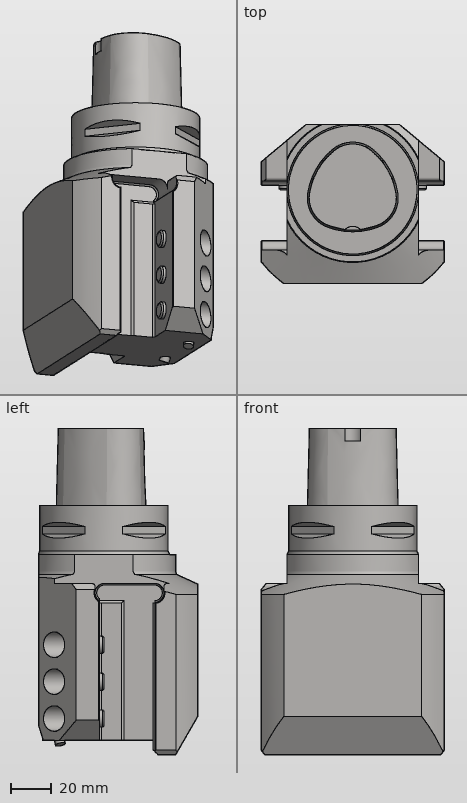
import cadquery as cq
import math

HEIGHT = 160.0
HALF_WIDTH = 45.0
BACK_Y = 32.0
FRONT_Y = -46.0
OVERSIZE = 160.0

SHANK_BOTTOM = 122.2
FLANK_REACH = 20.6
LOBE_REACH = 23.4
FLANK_RADIUS = 34.9
SHANK_TAPER = math.degrees(math.atan(1 / 40))
KEY_RADIUS = 5.1
KEY_AXIS_Y = -23.0
KEY_DEPTH = 6.2

FLANGE_RADIUS = 63.0 / 2
FLANGE_BOTTOM = 99.8
NECK_RADIUS = 32.3
DISC_TOP = 98.0
DISC_RADIUS = 35.4
DISC_BOTTOM = 89.8
GROOVE_FLOOR_RADIUS = 27.8
GROOVE_Z = 110.0
GROOVE_FLOOR_HEIGHT = 3.5
GROOVE_CLEARANCE = 1.6
GROOVE_FLARE = math.tan(math.radians(30))

SHOULDER_TOP = 88.5
SHOULDER_RADIUS = 35.7
SHOULDER_SLOPE = 0.46
CORNER_RADIUS = 57.1

BODY_BOTTOM = 7.0
BACK_FLAT_HALF = 22.9
BACK_BEVEL_Y = 13.6
BACK_SLANT_TOP = 14.2
BACK_SLANT_BOTTOM = 8.2
BACK_SLANT_INSET = 2.0
FRONT_BEVEL_Z = 18.9
FRONT_BEVEL_Y = -35.2

CORE_HALF = 32.3
WING_TOP = 84.0
WING_TOP_BEVEL_X = 2.5
WING_TOP_BEVEL_Z = 3.0
WING_BOTTOM_BEVEL = 10.0
SLOT_BACK = 2.0
SLOT_FRONT = -25.0
SLOT_FLOOR = 19.2
SLOT_CORNER_BEVEL = 1.0
SLOT_EDGE_BEVEL = 0.5
CROSS_TOP = 84.0
CROSS_BOTTOM = 74.7
CROSS_MIDDLE_Z = (CROSS_TOP + CROSS_BOTTOM) / 2
CROSS_BACK = 4.3
CROSS_FRONT = -29.5
CROSS_FLOOR_BEVEL = 0.8
LIP_RADIUS = 1.6
APRON_BACK = -24.0
APRON_BOTTOM_BEVEL = 2.5
APRON_SIDE_BEVEL_X = 2.0
APRON_SIDE_BEVEL_Z = 2.2

PAD_RISE = 0.6
PAD_BEVEL_WIDTH = 1.1
PAD_CORNER_X = 0.8
PAD_CORNER_Y = 1.0
PAD_FRONT = -8.6
PAD_TOP = 74.4

SCREW_X = 32.0
SCREW_PITCH = 18.0
SCREW_BOTTOM_Z = 17.8
SCREW_COUNT = 3
SCREW_HOLE_DIAMETER = 12.5
SCREW_HOLE_FLOOR = 12.8
PIN_DIAMETER = 8.5
PIN_TIP_Y = -0.2
PIN_BEVEL = 0.8

NOZZLE_DIAMETER = 5.0
NOZZLE_X = 16.0
NOZZLE_Y = 21.8
NOZZLE_FORWARD_TILT = 12.0
NOZZLE_OUTWARD_TILT = 18.0
NOZZLE_PROJECTION = 2.0
NOZZLE_ROOT = 8.0


def box(x0, x1, y0, y1, z0, z1):
    """Block between two opposite corners."""
    return cq.Workplane("XY").box(x1 - x0, y1 - y0, z1 - z0, centered=False).translate((x0, y0, z0))


def prism_x(points, x0, x1):
    """Y-Z outline swept from x0 to x1."""
    return cq.Workplane("YZ").workplane(offset=x0).polyline(points).close().extrude(x1 - x0)


def prism_y(points):
    """X-Z outline swept right through the part along Y."""
    return cq.Workplane("XZ").polyline(points).close().extrude(OVERSIZE, both=True)


def both_sides(solid):
    """The solid together with its mirror image across X = 0."""
    return solid.union(solid.mirror("YZ"))


def polar(radius, degrees):
    angle = math.radians(degrees)
    return (radius * math.cos(angle), radius * math.sin(angle))


def make_shank():
    lobe_offset = (
        (LOBE_REACH - FLANK_REACH)
        * (2 * FLANK_RADIUS - FLANK_REACH - LOBE_REACH)
        / (FLANK_RADIUS + FLANK_REACH - 2 * LOBE_REACH)
    )
    flank_y = FLANK_RADIUS - FLANK_REACH
    lobe_x, lobe_y = polar(lobe_offset, -30)
    tangent_angle = math.atan2(lobe_y - flank_y, lobe_x)
    tangent_x = FLANK_RADIUS * math.cos(tangent_angle)
    tangent_y = flank_y + FLANK_RADIUS * math.sin(tangent_angle)
    joint_radius = math.hypot(tangent_x, tangent_y)
    half_flank = 90 + math.degrees(math.atan2(tangent_y, tangent_x))

    outline = cq.Workplane("XY").workplane(offset=SHANK_BOTTOM)
    outline = outline.moveTo(*polar(joint_radius, -90 - half_flank))
    for middle in (-90, 30, 150):
        outline = outline.threePointArc(
            polar(FLANK_REACH, middle), polar(joint_radius, middle + half_flank)
        )
        outline = outline.threePointArc(
            polar(LOBE_REACH, middle + 60), polar(joint_radius, middle + 120 - half_flank)
        )
    shank = outline.close().extrude(HEIGHT - SHANK_BOTTOM, taper=SHANK_TAPER)
    key = cq.Workplane("XY").workplane(offset=HEIGHT - KEY_DEPTH).center(0, KEY_AXIS_Y)
    return shank.cut(key.circle(KEY_RADIUS).extrude(KEY_DEPTH))


def make_turned_body():
    """Flange, disc and conical shoulder, widening to the corner cylinder."""
    shoulder_edge = SHOULDER_TOP - SHOULDER_SLOPE * (CORNER_RADIUS - SHOULDER_RADIUS)
    profile = [
        (0, 0),
        (CORNER_RADIUS, 0),
        (CORNER_RADIUS, shoulder_edge),
        (SHOULDER_RADIUS, SHOULDER_TOP),
        (DISC_RADIUS, DISC_BOTTOM),
        (DISC_RADIUS, DISC_TOP),
        (NECK_RADIUS, DISC_TOP),
        (FLANGE_RADIUS, FLANGE_BOTTOM),
        (FLANGE_RADIUS, SHANK_BOTTOM),
        (0, SHANK_BOTTOM),
    ]
    return cq.Workplane("XZ").polyline(profile).close().revolve(360, (0, 0, 0), (0, 1, 0))


def make_block():
    """Block that bounds the turned body at the back, front, sides and bottom."""
    side_profile = [
        (BACK_Y, SHANK_BOTTOM),
        (BACK_Y, BACK_SLANT_TOP),
        (BACK_Y - BACK_SLANT_INSET, BACK_SLANT_BOTTOM),
        (BACK_Y - BACK_SLANT_INSET, BODY_BOTTOM),
        (APRON_BACK, BODY_BOTTOM),
        (APRON_BACK, APRON_BOTTOM_BEVEL),
        (APRON_BACK - APRON_BOTTOM_BEVEL, 0),
        (FRONT_BEVEL_Y, 0),
        (FRONT_Y, FRONT_BEVEL_Z),
        (FRONT_Y, SHANK_BOTTOM),
    ]
    plan = [
        (-HALF_WIDTH, FRONT_Y),
        (HALF_WIDTH, FRONT_Y),
        (HALF_WIDTH, BACK_BEVEL_Y),
        (BACK_FLAT_HALF, BACK_Y),
        (-BACK_FLAT_HALF, BACK_Y),
        (-HALF_WIDTH, BACK_BEVEL_Y),
    ]
    block = cq.Workplane("XY").polyline(plan).close().extrude(SHANK_BOTTOM)
    return block.intersect(prism_x(side_profile, -HALF_WIDTH, HALF_WIDTH))


def gripper_grooves():
    """Four flared flat-bottomed grooves at 45 degrees to the axes."""
    mouth = FLANGE_RADIUS + GROOVE_CLEARANCE
    depth = mouth - GROOVE_FLOOR_RADIUS
    floor_half = GROOVE_FLOOR_HEIGHT / 2
    mouth_half = floor_half + depth * GROOVE_FLARE
    profile = [
        (GROOVE_FLOOR_RADIUS, GROOVE_Z - floor_half),
        (mouth, GROOVE_Z - mouth_half),
        (mouth, GROOVE_Z + mouth_half),
        (GROOVE_FLOOR_RADIUS, GROOVE_Z + floor_half),
    ]
    groove = cq.Workplane("XZ").polyline(profile).close().extrude(FLANGE_RADIUS, both=True)
    grooves = cq.Workplane("XY")
    for angle in (45, 135, 225, 315):
        grooves = grooves.add(groove.rotate((0, 0, 0), (0, 0, 1), angle))
    return grooves.combine()


def side_shoulders():
    """Space beside the core above the wings, opening into the slots below."""
    lip_bottom = WING_TOP - LIP_RADIUS
    lip_turn = LIP_RADIUS * (1 - math.sqrt(0.5))
    opening = (
        cq.Workplane("YZ")
        .workplane(offset=CORE_HALF)
        .moveTo(CROSS_FRONT, CROSS_MIDDLE_Z)
        .lineTo(CROSS_FRONT, lip_bottom)
        .threePointArc((CROSS_FRONT - lip_turn, WING_TOP - lip_turn), (CROSS_FRONT - LIP_RADIUS, WING_TOP))
        .lineTo(-OVERSIZE, WING_TOP)
        .lineTo(-OVERSIZE, SHANK_BOTTOM)
        .lineTo(OVERSIZE, SHANK_BOTTOM)
        .lineTo(OVERSIZE, WING_TOP)
        .lineTo(CROSS_BACK + LIP_RADIUS, WING_TOP)
        .threePointArc((CROSS_BACK + lip_turn, WING_TOP - lip_turn), (CROSS_BACK, lip_bottom))
        .lineTo(CROSS_BACK, CROSS_MIDDLE_Z)
        .close()
        .extrude(OVERSIZE)
    )
    return both_sides(opening)


def corner_web(corner, leg_x, leg_y):
    """Triangular fill running up an inside corner of a side slot."""
    x, y = corner
    outline = [corner, (x + leg_x, y), (x, y + leg_y)]
    return cq.Workplane("XY").polyline(outline).close().extrude(PAD_TOP)


def slot_outline(x):
    """Side slot outline, reaching below the part, on the plane at x."""
    plane = cq.Workplane("YZ").workplane(offset=x)
    plane = plane.center((SLOT_BACK + SLOT_FRONT) / 2, 0)
    return plane.rect(SLOT_BACK - SLOT_FRONT, 2 * CROSS_MIDDLE_Z)


def cross_outline(x):
    """Round-ended outline of the cross groove on the plane at x."""
    plane = cq.Workplane("YZ").workplane(offset=x)
    plane = plane.center((CROSS_BACK + CROSS_FRONT) / 2, CROSS_MIDDLE_Z)
    return plane.slot2D(CROSS_BACK - CROSS_FRONT, CROSS_TOP - CROSS_BOTTOM)


def floor_pad():
    """Raised pad with bevels along its front and top edges."""
    pad_x = SLOT_FLOOR + PAD_RISE
    pad = box(0, pad_x, PAD_FRONT - PAD_BEVEL_WIDTH, SLOT_BACK, 0, PAD_TOP + PAD_BEVEL_WIDTH)
    front_bevel = [
        (pad_x, PAD_FRONT),
        (pad_x, PAD_FRONT - PAD_BEVEL_WIDTH),
        (SLOT_FLOOR, PAD_FRONT - PAD_BEVEL_WIDTH),
    ]
    top_bevel = [
        (pad_x, PAD_TOP),
        (pad_x, PAD_TOP + PAD_BEVEL_WIDTH),
        (SLOT_FLOOR, PAD_TOP + PAD_BEVEL_WIDTH),
    ]
    front_bevel = cq.Workplane("XY").polyline(front_bevel).close().extrude(OVERSIZE)
    return pad.cut(front_bevel).cut(prism_y(top_bevel))


def side_slots():
    """Upright tool slots, each crossed at its top by a round-ended groove."""
    slot = slot_outline(SLOT_FLOOR).extrude(OVERSIZE)
    pad_corner = (SLOT_FLOOR + PAD_RISE, SLOT_BACK)
    slot = slot.cut(corner_web(pad_corner, PAD_CORNER_X, -PAD_CORNER_Y))
    slot = slot.cut(corner_web((SLOT_FLOOR, SLOT_FRONT), SLOT_CORNER_BEVEL, SLOT_CORNER_BEVEL))
    cross = cross_outline(SLOT_FLOOR).extrude(OVERSIZE).faces("<X").chamfer(CROSS_FLOOR_BEVEL)
    slot = slot.union(cross).cut(floor_pad())
    mouth_x = HALF_WIDTH - SLOT_EDGE_BEVEL
    slot = slot.union(slot_outline(mouth_x).extrude(SLOT_EDGE_BEVEL, taper=-45))
    slot = slot.union(cross_outline(mouth_x).extrude(SLOT_EDGE_BEVEL, taper=-45))
    return both_sides(slot)


def wing_bevels():
    """Bevels on the outer edges of the back wings and of the front apron."""
    top = prism_y([
        (HALF_WIDTH, WING_TOP - WING_TOP_BEVEL_Z),
        (HALF_WIDTH, WING_TOP),
        (HALF_WIDTH - WING_TOP_BEVEL_X, WING_TOP),
    ])
    bottom = prism_y([
        (HALF_WIDTH, BODY_BOTTOM + WING_BOTTOM_BEVEL),
        (HALF_WIDTH, BODY_BOTTOM),
        (HALF_WIDTH - WING_BOTTOM_BEVEL, BODY_BOTTOM),
    ])
    behind_slot = box(0, OVERSIZE, SLOT_BACK, OVERSIZE, 0, HEIGHT)
    wing = top.union(bottom).intersect(behind_slot)
    apron_bottom = prism_y([
        (HALF_WIDTH, APRON_SIDE_BEVEL_Z),
        (HALF_WIDTH, 0),
        (HALF_WIDTH - APRON_SIDE_BEVEL_X, 0),
    ])
    return both_sides(wing.union(apron_bottom))


def cylinder_y(diameter, x, z, y_front, y_back):
    """Cylinder along Y between two Y positions."""
    plane = cq.Workplane("XZ", origin=(x, y_back, z))
    return plane.circle(diameter / 2).extrude(y_back - y_front)


def add_screws(body):
    """Blind holes from the back, each with a pin standing out of the slot wall in front of it."""
    for row in range(SCREW_COUNT):
        z = SCREW_BOTTOM_Z + SCREW_PITCH * row
        hole = cylinder_y(SCREW_HOLE_DIAMETER, SCREW_X, z, SCREW_HOLE_FLOOR, BACK_Y)
        pin = cylinder_y(PIN_DIAMETER, SCREW_X, z, PIN_TIP_Y, SCREW_HOLE_FLOOR)
        pin = pin.faces("<Y").chamfer(PIN_BEVEL)
        body = body.cut(both_sides(hole)).union(both_sides(pin))
    return body


def make_nozzles():
    nozzle = cq.Workplane("XY").workplane(offset=-NOZZLE_PROJECTION).circle(NOZZLE_DIAMETER / 2)
    nozzle = nozzle.extrude(NOZZLE_PROJECTION + NOZZLE_ROOT)
    nozzle = nozzle.rotate((0, 0, 0), (1, 0, 0), -NOZZLE_FORWARD_TILT)
    nozzle = nozzle.rotate((0, 0, 0), (0, 1, 0), -NOZZLE_OUTWARD_TILT)
    return both_sides(nozzle.translate((NOZZLE_X, NOZZLE_Y, BODY_BOTTOM)))


result = make_turned_body().intersect(make_block())
result = result.cut(gripper_grooves())
result = result.cut(side_shoulders())
result = result.cut(side_slots())
result = result.cut(wing_bevels())
result = add_screws(result)
result = result.union(make_nozzles()).union(make_shank())